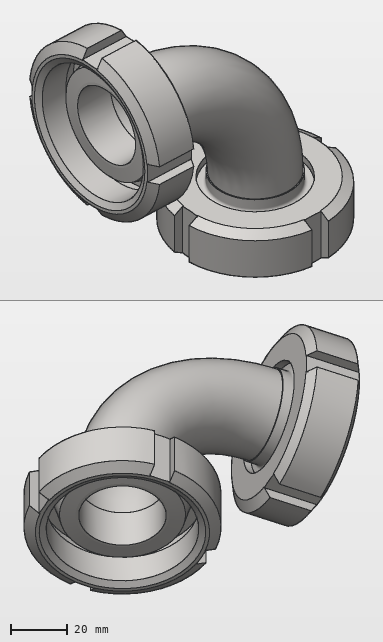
import cadquery as cq
import math

overall = 113.3
nut_radius = 70.0 / 2
slot_width = 7.8
nut_reach = math.sqrt(nut_radius**2 - (slot_width / 2) ** 2)
end_axis = overall / 2 - nut_reach
end_face = overall / 2

nut_height = 21.0
nut_rim_radius = 61.8 / 2
nut_chamfer_height = 2.4
nut_mouth_radius = 59.1 / 2
nut_bore_radius = 54.1 / 2
nut_mouth_depth = 1.5
undercut_radius = 58.5 / 2
undercut_length = 5.2
nut_wall = 3.0
nut_floor = nut_height - nut_wall
nut_hole_radius = 42.0 / 2
slot_count = 4

pipe_bore_radius = 31.0 / 2
liner_length = 15.6
liner_depth = 8.0
liner_nose_radius = 44.7 / 2
liner_collar_radius = 50.1 / 2
neck_radius = 35.0 / 2
neck_fillet = 1.5
lip_radius = 33.2 / 2
nose_slope_depth = 0.5

pipe_radius = 34.1 / 2
pipe_start = liner_depth + liner_length
bend_radius = end_face + end_axis - pipe_start


def revolve(profile):
    """Turn a closed (radius, height) profile about the vertical axis."""
    return profile.close().revolve(360, (0, 0, 0), (0, 1, 0))


def make_nut():
    """Nut with its open face at height zero and its back wall above."""
    profile = (
        cq.Workplane("XZ")
        .moveTo(nut_mouth_radius, 0)
        .lineTo(nut_rim_radius, 0)
        .lineTo(nut_radius, nut_chamfer_height)
        .lineTo(nut_radius, nut_height - nut_chamfer_height)
        .lineTo(nut_rim_radius, nut_height)
        .lineTo(nut_hole_radius, nut_height)
        .lineTo(nut_hole_radius, nut_floor)
        .lineTo(undercut_radius, nut_floor)
        .lineTo(undercut_radius, nut_floor - undercut_length)
        .lineTo(nut_bore_radius, nut_floor - undercut_length)
        .lineTo(nut_bore_radius, nut_mouth_depth)
    )
    slots = (
        cq.Workplane("XY")
        .polarArray(nut_rim_radius + slot_width / 2, 0, 360, slot_count)
        .rect(slot_width, slot_width)
        .extrude(nut_height)
    )
    return revolve(profile).cut(slots)


def make_liner():
    """Liner with a conical nose, a shoulder under the nut wall and a neck for the pipe."""
    profile = (
        cq.Workplane("XZ")
        .moveTo(lip_radius, liner_depth)
        .lineTo(liner_nose_radius, liner_depth + nose_slope_depth)
        .lineTo(liner_collar_radius, nut_floor)
        .lineTo(neck_radius + neck_fillet, nut_floor)
        .radiusArc((neck_radius, nut_floor + neck_fillet), neck_fillet)
        .lineTo(neck_radius, pipe_start)
        .lineTo(pipe_bore_radius, pipe_start)
        .lineTo(pipe_bore_radius, liner_depth)
    )
    return revolve(profile)


def make_elbow():
    """Quarter bend from the lower liner to the front liner."""
    return (
        cq.Workplane("XY")
        .workplane(offset=pipe_start - end_face)
        .center(0, end_axis)
        .circle(pipe_radius)
        .circle(pipe_bore_radius)
        .revolve(90, (0, -bend_radius, 0), (1, -bend_radius, 0))
    )


def at_lower_end(body):
    return body.translate((0, end_axis, -end_face))


def at_front_end(body):
    return body.rotate((0, 0, 0), (1, 0, 0), -90).translate((0, -end_face, end_axis))


elbow = make_elbow()
nuts = []
liners = []
for place in (at_lower_end, at_front_end):
    nuts.append(place(make_nut()))
    liners.append(place(make_liner()))

result = cq.Compound.makeCompound([elbow.val()] + [body.val() for body in nuts + liners])